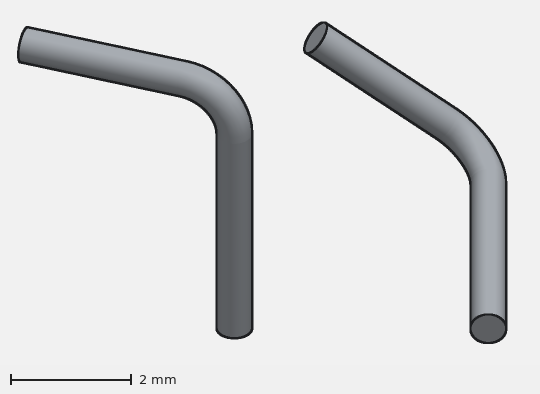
import cadquery as cq

height = 5.2
reach = 4.0
wire_diameter = 0.6
bend_radius = 0.9

wire_radius = wire_diameter / 2
upright_length = height - wire_radius - bend_radius
arm_length = reach - wire_radius - bend_radius

upright = cq.Workplane("XY").circle(wire_radius).extrude(upright_length)

bend = (
    cq.Workplane("XY", origin=(0, 0, upright_length))
    .circle(wire_radius)
    .revolve(90, (-bend_radius, 0, 0), (-bend_radius, -1, 0))
)

arm = (
    cq.Workplane("YZ", origin=(-bend_radius, 0, upright_length + bend_radius))
    .circle(wire_radius)
    .extrude(-arm_length)
)

result = upright.union(bend).union(arm)